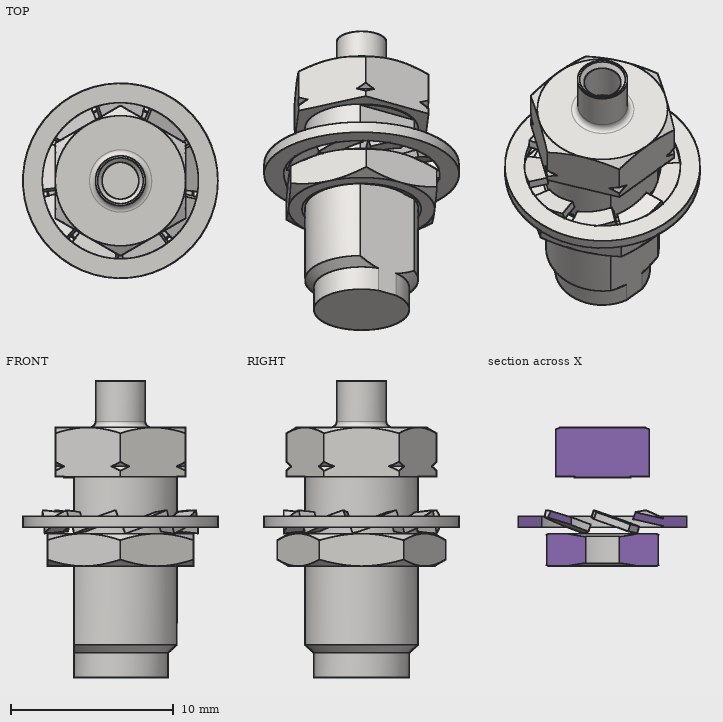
import cadquery as cq
import math

total_height = 18.23
nose_top = 1.51
nose_chamfer_top = 2.02
nut_bottom = 6.85
nut_top = 8.85
flat_top = 12.29
head_bottom = 12.35
head_top = 15.37

barrel_radius = 3.48
nose_radius = 2.94
flat_distance = 2.86

head_across_flats = 8.0
nut_across_flats = 8.99
hex_chamfer_angle = 30.0
hex_half_sector = 180.0 / 6

nut_bore_radius = 3.19
nut_countersink_radius = 3.66
nut_countersink_angle = 20.0

groove_height = 12.98
groove_root_radius = 4.34
groove_half_width = 0.27

ferrule_radius = 1.53
ferrule_fillet = 0.38
bore_radius = 1.13
bore_mouth_radius = 1.4
bore_mouth_depth = 0.27
bore_depth = total_height - head_top

washer_outer_radius = 6.0
washer_inner_radius = 4.8
washer_thickness = 0.7
washer_middle = 9.57
tooth_count = 9
tooth_inner_radius = 3.57
tooth_thickness = 0.45
tooth_tilt = 19.5
tooth_gap_angle = 3.4
first_tooth_angle = 10.0
tooth_pitch = 360.0 / tooth_count


def hexagon(across_flats, bottom, top, chamfer_bottom):
    """Hexagonal prism with its corners chamfered at the top and optionally at the bottom."""
    inscribed = across_flats / 2
    corner = inscribed / math.cos(math.radians(hex_half_sector))
    drop = (corner - inscribed) * math.tan(math.radians(hex_chamfer_angle))
    prism = (
        cq.Workplane("XY").workplane(offset=bottom)
        .polygon(6, 2 * corner).extrude(top - bottom)
        .rotate((0, 0, 0), (0, 0, 1), hex_half_sector)
    )
    outline = cq.Workplane("XZ").moveTo(0, bottom)
    if chamfer_bottom:
        outline = outline.lineTo(inscribed, bottom).lineTo(corner, bottom + drop)
    else:
        outline = outline.lineTo(corner, bottom)
    envelope = (
        outline.lineTo(corner, top - drop).lineTo(inscribed, top).lineTo(0, top).close()
        .revolve(360, (0, 0, 0), (0, 1, 0))
    )
    return prism.intersect(envelope)


def barrel():
    """Stepped round barrel with a flat cut along its -X side."""
    profile = (
        cq.Workplane("XZ")
        .polyline([
            (0, 0),
            (nose_radius, 0),
            (nose_radius, nose_top),
            (barrel_radius, nose_chamfer_top),
            (barrel_radius, head_bottom),
            (0, head_bottom),
        ]).close()
    )
    flat_cutter = cq.Workplane("XY").box(
        barrel_radius, 2 * barrel_radius, flat_top, centered=(True, True, False)
    ).translate((-flat_distance - barrel_radius / 2, 0, 0))
    return profile.revolve(360, (0, 0, 0), (0, 1, 0)).cut(flat_cutter)


def grooved_head():
    """Head hexagon with a V groove that only reaches its corners."""
    groove_outer_radius = groove_root_radius + 2 * groove_half_width
    groove_outer_half_width = 2 * groove_half_width
    groove = (
        cq.Workplane("XZ")
        .polyline([
            (groove_root_radius, groove_height),
            (groove_outer_radius, groove_height - groove_outer_half_width),
            (groove_outer_radius, groove_height + groove_outer_half_width),
        ]).close()
        .revolve(360, (0, 0, 0), (0, 1, 0))
    )
    return hexagon(head_across_flats, head_bottom, head_top, False).cut(groove)


def ferrule():
    """Tube on the head, flared into it by a concave fillet."""
    arc_reach = ferrule_fillet * (1 - math.sqrt(0.5))
    return (
        cq.Workplane("XZ").moveTo(0, head_top)
        .lineTo(ferrule_radius + ferrule_fillet, head_top)
        .threePointArc(
            (ferrule_radius + arc_reach, head_top + arc_reach),
            (ferrule_radius, head_top + ferrule_fillet),
        )
        .lineTo(ferrule_radius, total_height).lineTo(0, total_height).close()
        .revolve(360, (0, 0, 0), (0, 1, 0))
    )


def ferrule_bore():
    """Blind bore with a conical mouth."""
    return (
        cq.Workplane("XZ")
        .polyline([
            (0, total_height),
            (bore_mouth_radius, total_height),
            (bore_radius, total_height - bore_mouth_depth),
            (bore_radius, total_height - bore_depth),
            (0, total_height - bore_depth),
        ]).close()
        .revolve(360, (0, 0, 0), (0, 1, 0))
    )


def round_bored_nut():
    """Hexagon nut whose round bore is countersunk at both ends."""
    countersink_width = nut_countersink_radius - nut_bore_radius
    countersink_depth = countersink_width * math.tan(math.radians(nut_countersink_angle))
    bore = (
        cq.Workplane("XZ")
        .polyline([
            (0, nut_bottom),
            (nut_countersink_radius, nut_bottom),
            (nut_bore_radius, nut_bottom + countersink_depth),
            (nut_bore_radius, nut_top - countersink_depth),
            (nut_countersink_radius, nut_top),
            (0, nut_top),
        ]).close()
        .revolve(360, (0, 0, 0), (0, 1, 0))
    )
    return hexagon(nut_across_flats, nut_bottom, nut_top, True).cut(bore)


def make_connector():
    """Barrel, nut, head and ferrule as one solid; the nut bore stays open beside the barrel flat."""
    return barrel().union(round_bored_nut()).union(grooved_head()).union(ferrule()).cut(ferrule_bore())


def washer_tooth():
    """Wedge-shaped plate along +X, tilted about its own radial axis."""
    half_angle = math.radians((tooth_pitch - tooth_gap_angle) / 2)
    reach = washer_outer_radius
    plate = (
        cq.Workplane("XY").workplane(offset=-tooth_thickness / 2)
        .polyline([
            (0, 0),
            (reach, -reach * math.tan(half_angle)),
            (reach, reach * math.tan(half_angle)),
        ]).close()
        .extrude(tooth_thickness)
        .rotate((0, 0, 0), (1, 0, 0), tooth_tilt)
    )
    tooth_band = (
        cq.Workplane("XY").circle(washer_inner_radius).circle(tooth_inner_radius)
        .extrude(washer_outer_radius, both=True)
    )
    return plate.intersect(tooth_band)


def make_lock_washer():
    """Ring with its tilted teeth, standing on the nut."""
    washer = (
        cq.Workplane("XY").workplane(offset=-washer_thickness / 2)
        .circle(washer_outer_radius).circle(washer_inner_radius)
        .extrude(washer_thickness)
    )
    tooth = washer_tooth()
    for index in range(tooth_count):
        angle = first_tooth_angle + index * tooth_pitch
        washer = washer.union(tooth.rotate((0, 0, 0), (0, 0, 1), angle))
    return washer.translate((0, 0, washer_middle))


connector = make_connector()
lock_washer = make_lock_washer()

result = cq.Compound.makeCompound([connector.val(), lock_washer.val()])